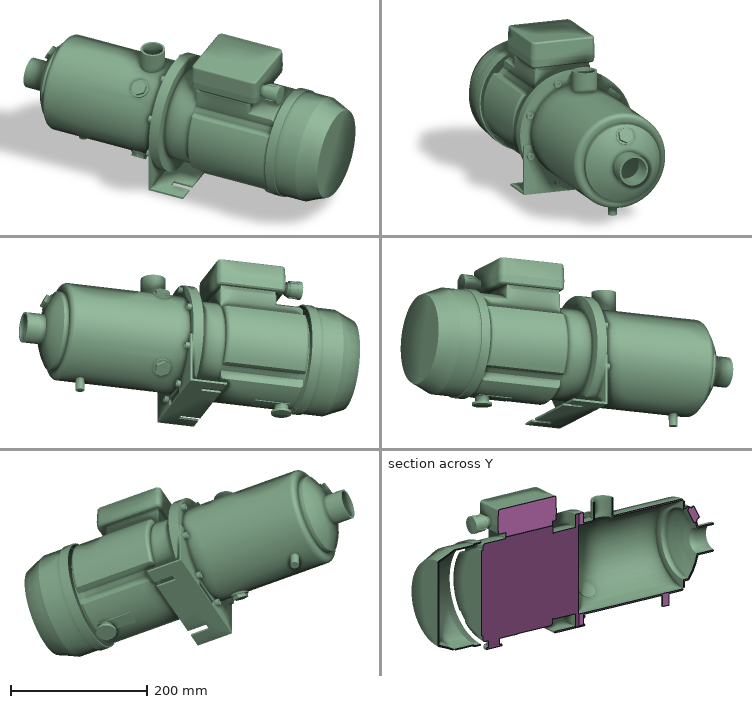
import cadquery as cq
import math

FLOOR_Z = -90.0

WALL = 3.0
CASING_RADIUS = 72.0
CASING_FRONT_X = 52.5
CASING_CORNER_RADIUS = 7.0
SUCTION_RADIUS = 22.5
SUCTION_BORE_RADIUS = 39.0 / 2
DOME_RADIUS = 96.0
DOME_RIM_RADIUS = 58.0
DOME_RIM_X = 45.0
DOME_CENTRE_X = DOME_RIM_X + math.sqrt(DOME_RADIUS**2 - DOME_RIM_RADIUS**2)
FLANGE_RADIUS = 176.5 / 2
FLANGE_FRONT_X = 234.0
JOINT_X = 243.0

DISCHARGE_X = 199.0
DISCHARGE_DIAMETER = 36.0
DISCHARGE_BORE_DIAMETER = 30.5
DISCHARGE_TOP_Z = 100.0
LEG_X = 87.0
LEG_DIAMETER = 13.0

SCREW_COUNT = 8
SCREW_CIRCLE_RADIUS = 80.5
SCREW_HEAD_DIAMETER = 10.0
SCREW_HEAD_HEIGHT = 6.0
SCREW_SHANK_DIAMETER = 7.0
SCREW_SOCKET_ACROSS_FLATS = 5.0
SCREW_SOCKET_DEPTH = 3.5

PLUG_COLLAR_DIAMETER = 27.0
PLUG_DEPTH = 5.0
PLUG_COLLAR_RISE = 2.0
PLUG_HEAD_RISE = 7.5
PLUG_ACROSS_FLATS = 20.0
SIDE_PLUG_ELEVATION = 52
DOME_PLUG_TILT = 27
DOME_PLUG_SINK = 1.5

BRACKET_THICKNESS = 3.0
BRACKET_HALF_WIDTH = 83.5
BRACKET_TOP_Z = -15.0
BRACKET_ARCH_RADIUS = 73.5
BRACKET_END_X = 286.5
BRACKET_OPENING_WIDTH = 46.5
BRACKET_OPENING_TOP_Z = -77.5
SLOT_Y = 55.5
SLOT_WIDTH = 10.0
SLOT_LENGTH = 30.0

ADAPTER_FLANGE_END_X = 249.5
ADAPTER_RADIUS = 68.0
ADAPTER_END_X = 287.5
FRAME_START_X = 289.5
FRAME_END_X = 415.5
FRAME_RADIUS = 77.0
FRAME_CORE_RADIUS = 67.0
FRAME_SIDE_HALF_HEIGHT = 44.5
FRAME_RIB_HALF_WIDTH = 43.5
FRAME_END_FILLET = 5.0
PEDESTAL_START_X = 288.5
PEDESTAL_END_X = 375.5
PEDESTAL_TOP_Z = 79.5
PEDESTAL_CORNER_RADIUS = 3.0
MOTOR_FOOT_X = 395.5
MOTOR_FOOT_DIAMETER = 21.0
MOTOR_FOOT_PAD_DIAMETER = 30.0
MOTOR_FOOT_PAD_HEIGHT = 3.5
FOOT_SEAT_START_X = 352.5
FOOT_SEAT_END_X = 405.0
FOOT_SEAT_DEPTH = 0.5

BOX_CENTRE_X = 336.0
BOX_LENGTH = 106.0
BOX_WIDTH = 100.5
BOX_CORNER_RADIUS = 8.0
BOX_SPLIT_Z = 98.0
BOX_TOP_Z = 124.5
BOX_BOTTOM_Z = 85.5
LID_TAPER = 2.5
BASE_TAPER = 5
BASE_CHAMFER = 2.0
LID_FILLET = 3.0
NECK_INSET = 1.5
GLAND_Y = -26.0
GLAND_Z = BOX_SPLIT_Z
GLAND_NECK_DIAMETER = 17.0
GLAND_COLLAR_DIAMETER = 21.0
GLAND_COLLAR_X = 394.0
GLAND_NUT_X = 398.5
GLAND_NUT_END_X = 411.0
GLAND_END_X = 417.0
GLAND_NUT_DIAMETER = 25.0
GLAND_RIB_COUNT = 6
GLAND_RIB_WIDTH = 2.5
GLAND_CAP_DIAMETER = 27.0

FAN_COVER_X = 418.5
FAN_RIM_END_X = 432.5
FAN_RIM_RADIUS = 81.0
FAN_COVER_RADIUS = 79.0
FAN_TAPER_X = 467.0
FAN_END_RADIUS = 66.5
FAN_END_X = 496.0
FAN_WALL = 2.0


def x_cylinder(start_x, end_x, radius, y=0, z=0):
    """Cylinder along X between two X positions."""
    return cq.Workplane("YZ", origin=(start_x, y, z)).circle(radius).extrude(end_x - start_x)


def z_cylinder(x, bottom_z, top_z, diameter):
    """Upright cylinder on the centre plane."""
    return cq.Workplane("XY", origin=(x, 0, bottom_z)).circle(diameter / 2).extrude(top_z - bottom_z)


def block(start, end):
    """Box between two opposite corners."""
    size = [high - low for low, high in zip(start, end)]
    return cq.Workplane("XY").box(*size, centered=False).translate(start)


def hexagon_diameter(across_flats):
    """Corner-to-corner size of a hexagon."""
    return across_flats / math.cos(math.pi / 6)


def sphere_x(radius, distance):
    """X on the front of a sphere about the dome centre, at a distance from the shaft axis."""
    return DOME_CENTRE_X - math.sqrt(radius**2 - distance**2)


def plug_plane(point, normal):
    """Plane on the wall surface, facing outwards, with its X direction level."""
    level = (1, 0, 0) if normal[0] == 0 else (0, 1, 0)
    return cq.Plane(origin=point, xDir=level, normal=normal)


def side_plug_plane(elevation):
    """Plug seat on the casing cylinder at an elevation above the -Y direction."""
    normal = (0, -math.cos(math.radians(elevation)), math.sin(math.radians(elevation)))
    point = (DISCHARGE_X, CASING_RADIUS * normal[1], CASING_RADIUS * normal[2])
    return plug_plane(point, normal)


def dome_plug_plane():
    """Plug seat on the dome, square to its surface above the suction pipe."""
    normal = (-math.cos(math.radians(DOME_PLUG_TILT)), 0, math.sin(math.radians(DOME_PLUG_TILT)))
    reach = DOME_RADIUS - DOME_PLUG_SINK
    point = (DOME_CENTRE_X + reach * normal[0], 0, reach * normal[2])
    return plug_plane(point, normal)


def make_plug_collar(plane):
    """Round collar through the wall; it also shapes the hole in the casing."""
    depth_plane = cq.Workplane(plane).workplane(offset=-PLUG_DEPTH)
    return depth_plane.circle(PLUG_COLLAR_DIAMETER / 2).extrude(PLUG_DEPTH + PLUG_COLLAR_RISE)


def make_plug(plane):
    """Collar with its hexagonal head."""
    head = (
        cq.Workplane(plane)
        .transformed(rotate=(0, 0, 30))
        .polygon(6, hexagon_diameter(PLUG_ACROSS_FLATS))
        .extrude(PLUG_HEAD_RISE)
    )
    return make_plug_collar(plane).union(head)


def make_casing_shell():
    """Suction pipe, dome, cylinder and flange as one revolved wall."""
    inner_dome = DOME_RADIUS - WALL
    inner_rim = DOME_RIM_RADIUS - WALL
    bore = CASING_RADIUS - WALL
    mid_outer = (SUCTION_RADIUS + DOME_RIM_RADIUS) / 2
    mid_inner = (SUCTION_BORE_RADIUS + inner_rim) / 2
    corner_x = CASING_FRONT_X + CASING_CORNER_RADIUS
    corner_r = CASING_RADIUS - CASING_CORNER_RADIUS
    corner_mid = CASING_CORNER_RADIUS * math.sqrt(0.5)
    profile = (
        cq.Workplane("XY")
        .moveTo(0, SUCTION_BORE_RADIUS)
        .lineTo(0, SUCTION_RADIUS)
        .lineTo(sphere_x(DOME_RADIUS, SUCTION_RADIUS), SUCTION_RADIUS)
        .threePointArc((sphere_x(DOME_RADIUS, mid_outer), mid_outer), (DOME_RIM_X, DOME_RIM_RADIUS))
        .lineTo(CASING_FRONT_X, DOME_RIM_RADIUS)
        .lineTo(CASING_FRONT_X, corner_r)
        .threePointArc((corner_x - corner_mid, corner_r + corner_mid), (corner_x, CASING_RADIUS))
        .lineTo(FLANGE_FRONT_X, CASING_RADIUS)
        .lineTo(FLANGE_FRONT_X, FLANGE_RADIUS)
        .lineTo(JOINT_X, FLANGE_RADIUS)
        .lineTo(JOINT_X, bore)
        .lineTo(CASING_FRONT_X + WALL, bore)
        .lineTo(CASING_FRONT_X + WALL, inner_rim)
        .lineTo(sphere_x(inner_dome, inner_rim), inner_rim)
        .threePointArc(
            (sphere_x(inner_dome, mid_inner), mid_inner),
            (sphere_x(inner_dome, SUCTION_BORE_RADIUS), SUCTION_BORE_RADIUS),
        )
        .close()
    )
    return profile.revolve(360, (0, 0, 0), (1, 0, 0))


def screw_places():
    """(Y, Z) of every flange screw."""
    places = []
    for index in range(SCREW_COUNT):
        angle = 2 * math.pi * (index + 0.5) / SCREW_COUNT
        places.append((SCREW_CIRCLE_RADIUS * math.cos(angle), SCREW_CIRCLE_RADIUS * math.sin(angle)))
    return places


def make_screw(y, z):
    """Socket-head screw ending at the flange; the lower ones clamp the bracket as well."""
    grip = BRACKET_THICKNESS if z < BRACKET_TOP_Z else 0
    seat_x = FLANGE_FRONT_X - grip
    top_x = seat_x - SCREW_HEAD_HEIGHT
    head = x_cylinder(top_x, seat_x, SCREW_HEAD_DIAMETER / 2, y, z)
    socket = (
        cq.Workplane("YZ", origin=(top_x, y, z))
        .polygon(6, hexagon_diameter(SCREW_SOCKET_ACROSS_FLATS))
        .extrude(SCREW_SOCKET_DEPTH)
    )
    shank = x_cylinder(seat_x, JOINT_X, SCREW_SHANK_DIAMETER / 2, y, z)
    return head.cut(socket).union(shank)


def make_casing(plug_planes):
    """Shell with its pipes, leg and screws, and a hole for every plug."""
    casing = make_casing_shell()
    discharge = z_cylinder(DISCHARGE_X, 0, DISCHARGE_TOP_Z, DISCHARGE_DIAMETER)
    discharge_bore = z_cylinder(DISCHARGE_X, 0, DISCHARGE_TOP_Z, DISCHARGE_BORE_DIAMETER)
    leg = z_cylinder(LEG_X, FLOOR_Z, 0, LEG_DIAMETER)
    chamber = x_cylinder(CASING_FRONT_X + WALL, JOINT_X, CASING_RADIUS - WALL)
    casing = casing.union(discharge).union(leg).cut(discharge_bore).cut(chamber)
    for y, z in screw_places():
        casing = casing.union(make_screw(y, z))
    for plane in plug_planes:
        casing = casing.cut(make_plug_collar(plane))
    return casing


def make_bracket():
    """Upright plate clamped to the flange, bent back along the floor into slotted feet."""
    plate_x = FLANGE_FRONT_X - BRACKET_THICKNESS
    plate = block(
        (plate_x, -BRACKET_HALF_WIDTH, FLOOR_Z),
        (FLANGE_FRONT_X, BRACKET_HALF_WIDTH, BRACKET_TOP_Z),
    )
    foot = block(
        (plate_x, -BRACKET_HALF_WIDTH, FLOOR_Z),
        (BRACKET_END_X, BRACKET_HALF_WIDTH, FLOOR_Z + BRACKET_THICKNESS),
    )
    opening = block(
        (plate_x, -BRACKET_OPENING_WIDTH / 2, FLOOR_Z + BRACKET_THICKNESS),
        (FLANGE_FRONT_X, BRACKET_OPENING_WIDTH / 2, BRACKET_OPENING_TOP_Z),
    )
    arch = x_cylinder(plate_x, FLANGE_FRONT_X, BRACKET_ARCH_RADIUS)
    relief = x_cylinder(FLANGE_FRONT_X, ADAPTER_FLANGE_END_X, FLANGE_RADIUS)
    bracket = plate.union(foot).cut(opening).cut(arch).cut(relief)
    for side in (-1, 1):
        slot = block(
            (BRACKET_END_X - SLOT_LENGTH, side * SLOT_Y - SLOT_WIDTH / 2, FLOOR_Z),
            (BRACKET_END_X, side * SLOT_Y + SLOT_WIDTH / 2, FLOOR_Z + BRACKET_THICKNESS),
        )
        bracket = bracket.cut(slot)
    for y, z in screw_places():
        bracket = bracket.cut(x_cylinder(plate_x, FLANGE_FRONT_X, SCREW_SHANK_DIAMETER / 2, y, z))
    return bracket


def make_frame():
    """Round frame with a stepped notch along each of its four corners."""
    length = FRAME_END_X - FRAME_START_X
    barrel = x_cylinder(FRAME_START_X, FRAME_END_X, FRAME_RADIUS).edges().fillet(FRAME_END_FILLET)
    cross = cq.Workplane("YZ", origin=(FRAME_START_X, 0, 0))
    sides = cross.rect(2 * FRAME_RADIUS, 2 * FRAME_SIDE_HALF_HEIGHT).extrude(length)
    ribs = cross.rect(2 * FRAME_RIB_HALF_WIDTH, 2 * FRAME_RADIUS).extrude(length)
    return barrel.intersect(sides.union(ribs))


def make_pedestal():
    """Raised seat for the terminal box."""
    pedestal = block(
        (PEDESTAL_START_X, -FRAME_RIB_HALF_WIDTH, 0),
        (PEDESTAL_END_X, FRAME_RIB_HALF_WIDTH, PEDESTAL_TOP_Z),
    )
    return pedestal.edges("|Z").fillet(PEDESTAL_CORNER_RADIUS)


def make_motor_foot():
    """Round column and pad under a shallow seat on the frame."""
    column = z_cylinder(MOTOR_FOOT_X, FLOOR_Z, -FRAME_CORE_RADIUS, MOTOR_FOOT_DIAMETER)
    pad = z_cylinder(MOTOR_FOOT_X, FLOOR_Z, FLOOR_Z + MOTOR_FOOT_PAD_HEIGHT, MOTOR_FOOT_PAD_DIAMETER)
    seat = block(
        (FOOT_SEAT_START_X, -MOTOR_FOOT_DIAMETER / 2, -FRAME_RADIUS - FOOT_SEAT_DEPTH),
        (FOOT_SEAT_END_X, MOTOR_FOOT_DIAMETER / 2, -FRAME_CORE_RADIUS),
    )
    return column.union(pad).union(seat)


def make_motor():
    """Adapter and frame on one axis, with the pedestal and the rear foot."""
    motor = x_cylinder(JOINT_X, ADAPTER_FLANGE_END_X, FLANGE_RADIUS)
    motor = motor.union(x_cylinder(ADAPTER_FLANGE_END_X, ADAPTER_END_X, ADAPTER_RADIUS))
    motor = motor.union(x_cylinder(ADAPTER_END_X, FAN_COVER_X, FRAME_CORE_RADIUS))
    return motor.union(make_frame()).union(make_pedestal()).union(make_motor_foot())


def box_outline():
    """Rounded rectangle at the joint between lid and base."""
    sketch = cq.Sketch().rect(BOX_LENGTH, BOX_WIDTH).vertices().fillet(BOX_CORNER_RADIUS)
    return cq.Workplane("XY", origin=(BOX_CENTRE_X, 0, BOX_SPLIT_Z)).placeSketch(sketch)


def make_gland():
    """Cable gland on the rear wall: neck, collar, ribbed nut and round cap."""
    box_end_x = BOX_CENTRE_X + BOX_LENGTH / 2
    neck_x = box_end_x - BOX_CORNER_RADIUS
    neck = x_cylinder(neck_x, GLAND_NUT_X, GLAND_NECK_DIAMETER / 2, GLAND_Y, GLAND_Z)
    collar = x_cylinder(GLAND_COLLAR_X, GLAND_NUT_X, GLAND_COLLAR_DIAMETER / 2, GLAND_Y, GLAND_Z)
    nut = x_cylinder(GLAND_NUT_X, GLAND_NUT_END_X, GLAND_NUT_DIAMETER / 2, GLAND_Y, GLAND_Z)
    rib_plane = cq.Workplane("YZ", origin=(GLAND_NUT_X, GLAND_Y, GLAND_Z))
    for index in range(GLAND_RIB_COUNT // 2):
        bar = (
            rib_plane.transformed(rotate=(0, 0, 360 / GLAND_RIB_COUNT * (index + 0.5)))
            .rect(GLAND_CAP_DIAMETER, GLAND_RIB_WIDTH)
            .extrude(GLAND_NUT_END_X - GLAND_NUT_X)
        )
        nut = nut.union(bar)
    cap = x_cylinder(GLAND_NUT_END_X, GLAND_END_X, GLAND_CAP_DIAMETER / 2, GLAND_Y, GLAND_Z)
    return neck.union(collar).union(nut).union(cap)


def make_terminal_box():
    """Lid and base tapering away from their joint line, on a neck over the pedestal."""
    lid = box_outline().extrude(BOX_TOP_Z - BOX_SPLIT_Z, taper=LID_TAPER)
    lid = lid.faces(">Z").edges().fillet(LID_FILLET)
    base = box_outline().extrude(BOX_BOTTOM_Z - BOX_SPLIT_Z, taper=BASE_TAPER)
    base = base.faces("<Z").chamfer(BASE_CHAMFER)
    neck = block(
        (PEDESTAL_START_X + NECK_INSET, NECK_INSET - FRAME_RIB_HALF_WIDTH, PEDESTAL_TOP_Z),
        (PEDESTAL_END_X - NECK_INSET, FRAME_RIB_HALF_WIDTH - NECK_INSET, BOX_SPLIT_Z),
    )
    return lid.union(base).union(neck).union(make_gland())


def make_fan_cover():
    """Hollow cup, open towards the motor."""
    rim_bore = FAN_RIM_RADIUS - FAN_WALL
    cover_bore = FAN_COVER_RADIUS - FAN_WALL
    profile = (
        cq.Workplane("XY")
        .moveTo(FAN_COVER_X, rim_bore)
        .lineTo(FAN_COVER_X, FAN_RIM_RADIUS)
        .lineTo(FAN_RIM_END_X, FAN_RIM_RADIUS)
        .lineTo(FAN_RIM_END_X, FAN_COVER_RADIUS)
        .lineTo(FAN_TAPER_X, FAN_COVER_RADIUS)
        .lineTo(FAN_END_X, FAN_END_RADIUS)
        .lineTo(FAN_END_X, 0)
        .lineTo(FAN_END_X - FAN_WALL, 0)
        .lineTo(FAN_END_X - FAN_WALL, FAN_END_RADIUS - FAN_WALL)
        .lineTo(FAN_TAPER_X, cover_bore)
        .lineTo(FAN_RIM_END_X - FAN_WALL, cover_bore)
        .lineTo(FAN_RIM_END_X - FAN_WALL, rim_bore)
        .close()
    )
    return profile.revolve(360, (0, 0, 0), (1, 0, 0))


plug_planes = [
    side_plug_plane(SIDE_PLUG_ELEVATION),
    side_plug_plane(-SIDE_PLUG_ELEVATION),
    dome_plug_plane(),
]
casing = make_casing(plug_planes)
plugs = [make_plug(plane) for plane in plug_planes]
bracket = make_bracket()
motor = make_motor()
terminal_box = make_terminal_box()
fan_cover = make_fan_cover()

result = cq.Compound.makeCompound(
    [
        casing.val(),
        *[plug.val() for plug in plugs],
        bracket.val(),
        motor.val(),
        terminal_box.val(),
        fan_cover.val(),
    ]
)